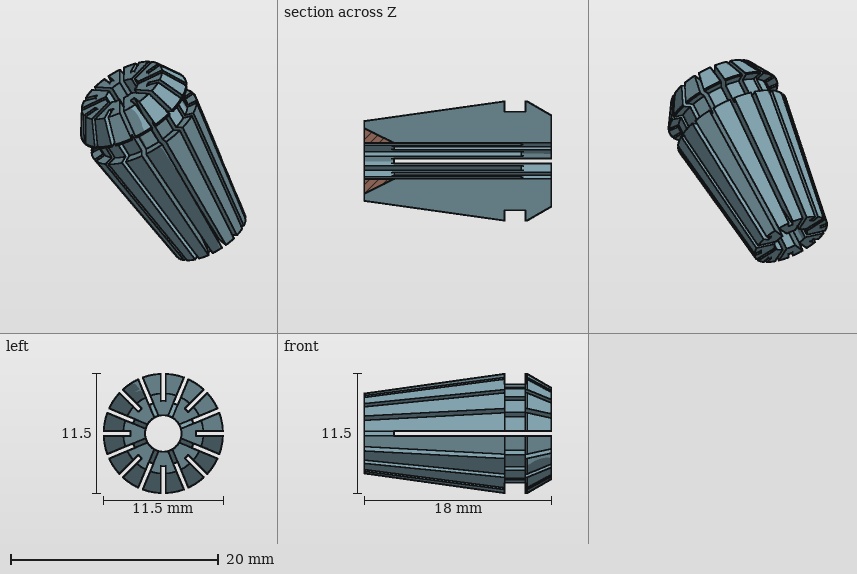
import cadquery as cq
import math

length = 18.0
max_radius = 11.5 / 2
bore_radius = 1.75
taper_angle = 8.0
nose_angle = 30.0
taper_end = 13.5
groove_end = 15.5
groove_radius = 4.75
rim_width = 0.16

slots_per_set = 8
slot_width = 0.45
pitch = 360.0 / slots_per_set
front_web_radius = 3.17
front_web_length = 2.86
rear_web_radius = 3.06
rear_web_length = 2.92

rim_end = groove_end + rim_width
front_radius = max_radius - taper_end * math.tan(math.radians(taper_angle))
rear_radius = max_radius - (length - rim_end) * math.tan(math.radians(nose_angle))


def revolve_about_x(points):
    """Revolve a closed (x, radius) outline about the X axis."""
    return cq.Workplane("XY").polyline(points).close().revolve(360, (0, 0, 0), (1, 0, 0))


def make_body():
    """Bored collet blank: long cone, extraction groove, rim and steep cone."""
    return revolve_about_x([
        (0, bore_radius),
        (0, front_radius),
        (taper_end, max_radius),
        (taper_end, groove_radius),
        (groove_end, groove_radius),
        (groove_end, max_radius),
        (rim_end, max_radius),
        (length, rear_radius),
        (length, bore_radius),
    ])


def make_slots(web, start_angle):
    """Full-length radial slots, evenly spaced, with the web ring kept solid."""
    blade = cq.Workplane("XY").box(length, max_radius, slot_width, centered=(False, False, True))
    slots = cq.Workplane("XY")
    for index in range(slots_per_set):
        slots = slots.add(blade.rotate((0, 0, 0), (1, 0, 0), start_angle + index * pitch))
    return slots.combine().cut(web)


front_web = revolve_about_x([
    (0, bore_radius),
    (0, front_web_radius),
    (front_web_length, bore_radius),
])
rear_web = revolve_about_x([
    (length, bore_radius),
    (length, rear_web_radius),
    (length - rear_web_length, bore_radius),
])

result = (
    make_body()
    .cut(make_slots(front_web, 0))
    .cut(make_slots(rear_web, pitch / 2))
)